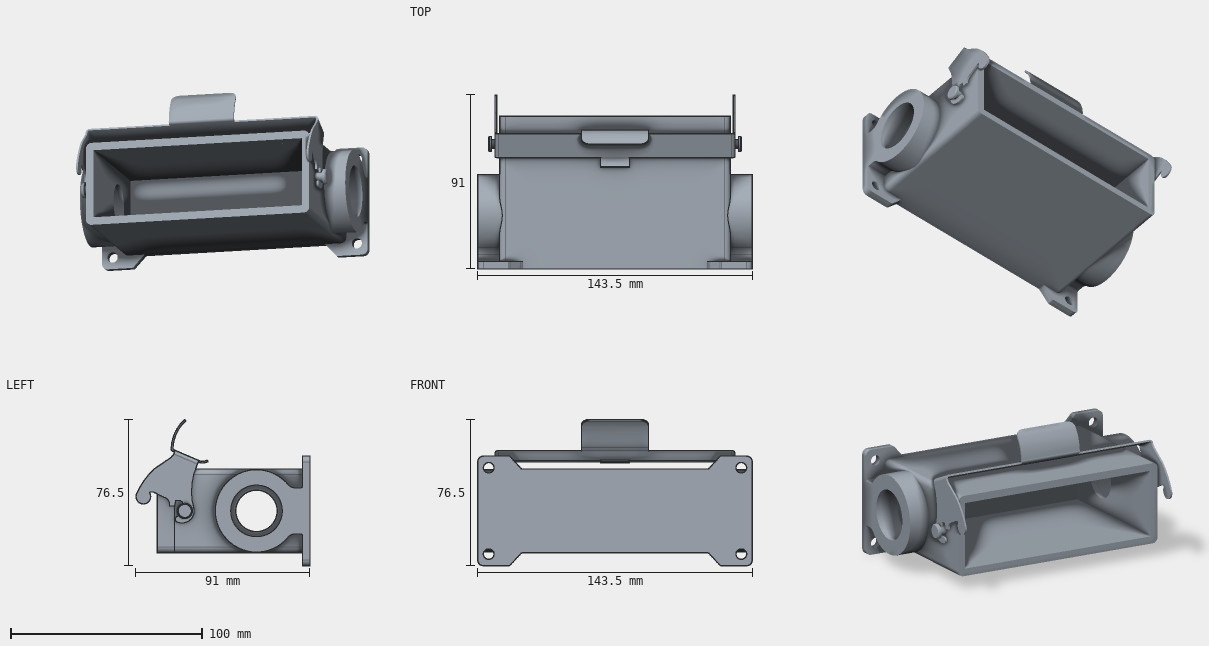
import cadquery as cq
import math


PLATE_LENGTH = 143.5
PLATE_HEIGHT = 57.4
PLATE_THICKNESS = 4.0
PLATE_CORNER_RADIUS = 3.0
MOUNT_HOLE_DIAMETER = 5.5
MOUNT_HOLE_SPACING_X = 132.0
MOUNT_HOLE_SPACING_Z = 45.0
NOTCH_HALF_LENGTH_OUTER = 55.1
NOTCH_HALF_LENGTH_INNER = 48.8
NOTCH_EDGE_RADIUS = 1.1

BODY_LENGTH = 120.7
BODY_HEIGHT = 43.9
BODY_DEPTH = 80.0
BODY_EDGE_RADIUS = 3.0
COLLAR_DEPTH = 9.2
WALL = 4.0
SEAM_Y = BODY_DEPTH - COLLAR_DEPTH

ENTRY_Y = 28.0
ENTRY_RADIUS = 21.5
ENTRY_BORE_DIAMETER = 27.0
ENTRY_BORE_DEPTH = 12.9
ENTRY_HOLE_DIAMETER = 21.5
WEB_HALF_HEIGHT = 12.0
WEB_FILLET = 4.7
WEB_FOOT_FILLET = 0.9

PEG_Y = 65.5
PEG_DIAMETER = 4.7
PEG_HEAD_DIAMETER = 8.0
PEG_HEAD_THICKNESS = 1.7
PEG_HEAD_CHAMFER = 0.6
PEG_HALF_SPAN = 66.2

SHEET = 1.0
LEVER_LENGTH = 125.5
LEVER_BEND_RADIUS = 2 * SHEET
STRAP_TILT = 23.0
STRAP_WIDTH = 13.5
STRAP_REAR_Y = 58.1
STRAP_REAR_Z = 26.4
PEG_CLEARANCE_DIAMETER = 5.5
EYE_RADIUS = 6.3
EYE_MIDDLE_ANGLE = 225.0
EYE_END_ANGLE = 165.0
EYE_Y = PEG_Y + 1.5
LIP_DIAMETER = 3.3
LIP_RADIUS = LIP_DIAMETER / 2
LIP_Y = 68.7
HOOK_Y = 87.1
HOOK_Z = 7.5
HOOK_RADIUS = 3.9
HOOK_THROAT_Y = 83.7
HOOK_THROAT_Z = 9.8
HOOK_THROAT_LENGTH = 1.9
HOOK_BLEND_ANGLE = 25.0
HOOK_BACK_Y = 81.5
HOOK_BACK_Z = 22.0
TOOTH_FRONT_Y = 73.5
TOOTH_REAR_Y = 70.6
TOOTH_Z = 2.6
TOOTH_HEIGHT = 1.5
RELIEF_FRONT_Y = 70.3
RELIEF_REAR_Y = 66.6
RELIEF_Z = 5.5
RELIEF_CORNER_Y = 1.1
RELIEF_CORNER_Z = 0.9

NECK_UPPER = (71.3, 29.5)
NECK_LOWER = (72.6, 28.0)
HOOK_BACK_MIDDLE = (86.5, 16.2)
BELLY_START = (76.0, 7.0)
BELLY_MIDDLE = (74.2, 5.7)
REAR_LOWER = (61.7, 5.7)
REAR_MIDDLE = (61.8, 12.2)
REAR_UPPER = (60.8, 19.0)

GRIP_WIDTH = 35.0
GRIP_CORNER_RADIUS = 4.0
GRIP_RADIUS = 21.1
GRIP_Y = 51.5
GRIP_Z = 32.0
GRIP_START_ANGLE = 3.0
GRIP_END_ANGLE = 48.5
FOOT_OUTER_MIDDLE = (72.5, 31.7)
FOOT_OUTER_END = (71.8, 31.1)
FOOT_INNER_MIDDLE = (71.3, 32.1)
TAB_WIDTH = 15.0
TAB_RADIUS = 6.0
TAB_END_ANGLE = 241.0


def polar(center, radius, degrees):
    """Point at a radius and angle from a center, in the (Y, Z) plane."""
    angle = math.radians(degrees)
    return center[0] + radius * math.cos(angle), center[1] + radius * math.sin(angle)


def box_between(length, height, y_start, y_end):
    """Box centred on the Y axis that runs from y_start to y_end."""
    depth = y_end - y_start
    return cq.Workplane("XY").box(length, depth, height).translate((0, y_start + depth / 2, 0))


def mounting_plate():
    plate = box_between(PLATE_LENGTH, PLATE_HEIGHT, 0, PLATE_THICKNESS)
    plate = plate.edges("|Y").fillet(PLATE_CORNER_RADIUS)
    for side in (1, -1):
        inner_z = side * BODY_HEIGHT / 2
        outer_z = side * PLATE_HEIGHT / 2
        notch = (
            cq.Workplane("XZ")
            .moveTo(-NOTCH_HALF_LENGTH_INNER, inner_z)
            .lineTo(NOTCH_HALF_LENGTH_INNER, inner_z)
            .lineTo(NOTCH_HALF_LENGTH_OUTER, outer_z)
            .lineTo(-NOTCH_HALF_LENGTH_OUTER, outer_z)
            .close()
            .extrude(-PLATE_THICKNESS)
        )
        plate = plate.cut(notch)
    zone_x = (NOTCH_HALF_LENGTH_OUTER + PLATE_LENGTH / 2) / 2
    notch_edges = cq.selectors.BoxSelector(
        (-zone_x, 0, -PLATE_HEIGHT),
        (zone_x, PLATE_THICKNESS, PLATE_HEIGHT),
    )
    plate = plate.edges("|Y").edges(notch_edges).fillet(NOTCH_EDGE_RADIUS)
    holes = (
        cq.Workplane("XZ")
        .rect(MOUNT_HOLE_SPACING_X, MOUNT_HOLE_SPACING_Z, forConstruction=True)
        .vertices()
        .circle(MOUNT_HOLE_DIAMETER / 2)
        .extrude(-PLATE_THICKNESS)
    )
    return plate.cut(holes)


def rounded_box(y_start, y_end):
    """Stretch of the outer box with its four long edges rounded."""
    return box_between(BODY_LENGTH, BODY_HEIGHT, y_start, y_end).edges("|Y").fillet(BODY_EDGE_RADIUS)


def cavity(y_start, y_end):
    """Stretch of the hollow inside, one wall thickness within the outer box."""
    return box_between(BODY_LENGTH - 2 * WALL, BODY_HEIGHT - 2 * WALL, y_start, y_end)


def entry_profile():
    """Round boss with a web to the plate, blended by concave fillets, as a (Y, Z) outline."""
    fillet_z = WEB_HALF_HEIGHT + WEB_FILLET
    reach = ENTRY_RADIUS + WEB_FILLET
    fillet_y = ENTRY_Y - math.sqrt(reach**2 - fillet_z**2)
    blend_y = ENTRY_Y + (fillet_y - ENTRY_Y) * ENTRY_RADIUS / reach
    blend_z = fillet_z * ENTRY_RADIUS / reach
    blend_angle = math.degrees(math.atan2(-fillet_z, ENTRY_Y - fillet_y))
    foot_y = PLATE_THICKNESS + WEB_FOOT_FILLET
    foot_z = WEB_HALF_HEIGHT + WEB_FOOT_FILLET
    foot_mid = polar((foot_y, foot_z), WEB_FOOT_FILLET, 225)
    upper_mid = polar((fillet_y, fillet_z), WEB_FILLET, (blend_angle - 90) / 2)
    return (
        cq.Workplane("YZ")
        .moveTo(0, foot_z)
        .lineTo(PLATE_THICKNESS, foot_z)
        .threePointArc(foot_mid, (foot_y, WEB_HALF_HEIGHT))
        .lineTo(fillet_y, WEB_HALF_HEIGHT)
        .threePointArc(upper_mid, (blend_y, blend_z))
        .threePointArc((ENTRY_Y + ENTRY_RADIUS, 0), (blend_y, -blend_z))
        .threePointArc((upper_mid[0], -upper_mid[1]), (fillet_y, -WEB_HALF_HEIGHT))
        .lineTo(foot_y, -WEB_HALF_HEIGHT)
        .threePointArc((foot_mid[0], -foot_mid[1]), (PLATE_THICKNESS, -foot_z))
        .lineTo(0, -foot_z)
        .close()
    )


def cross_cylinder(diameter, length, y):
    """Cylinder along X, centred on X = 0."""
    return cq.Workplane("YZ").center(y, 0).circle(diameter / 2).extrude(length / 2, both=True)


def make_peg():
    """Headed pivot peg on the +X wall, pointing along +X."""
    wall_x = BODY_LENGTH / 2
    head_x = PEG_HALF_SPAN - PEG_HEAD_THICKNESS
    shank = cq.Workplane("YZ", origin=(wall_x - WALL / 2, PEG_Y, 0)).circle(PEG_DIAMETER / 2)
    shank = shank.extrude(head_x - wall_x + WALL / 2)
    head = cq.Workplane("YZ", origin=(head_x, PEG_Y, 0)).circle(PEG_HEAD_DIAMETER / 2)
    head = head.extrude(PEG_HEAD_THICKNESS).faces(">X").chamfer(PEG_HEAD_CHAMFER)
    return shank.union(head)


def make_housing():
    housing = mounting_plate().union(rounded_box(0, SEAM_Y))
    housing = housing.union(entry_profile().extrude(PLATE_LENGTH / 2, both=True))
    housing = housing.cut(cavity(WALL, SEAM_Y))
    housing = housing.cut(cross_cylinder(ENTRY_HOLE_DIAMETER, PLATE_LENGTH, ENTRY_Y))
    bores = cross_cylinder(ENTRY_BORE_DIAMETER, PLATE_LENGTH, ENTRY_Y).cut(
        cross_cylinder(ENTRY_BORE_DIAMETER, PLATE_LENGTH - 2 * ENTRY_BORE_DEPTH, ENTRY_Y)
    )
    housing = housing.cut(bores)
    peg = make_peg()
    return housing.union(peg).union(peg.mirror("YZ"))


def make_collar():
    """Open frame that continues the outer box in front of the seam."""
    return rounded_box(SEAM_Y, BODY_DEPTH).cut(cavity(SEAM_Y, BODY_DEPTH))


def strap_front_corners():
    """Outer and inner corners of the strap sheet on the hook side."""
    outer = polar((STRAP_REAR_Y, STRAP_REAR_Z), STRAP_WIDTH, STRAP_TILT)
    return outer, polar(outer, SHEET, STRAP_TILT - 90)


def lever_outline():
    """Side shape of the lever: strap edge, hook, latch tooth and slotted pivot eye."""
    rear = (STRAP_REAR_Y, STRAP_REAR_Z)
    strap_top, strap_bottom = strap_front_corners()
    hole_radius = PEG_CLEARANCE_DIAMETER / 2
    hole_entry_z = math.sqrt(hole_radius**2 - (RELIEF_REAR_Y - PEG_Y) ** 2)
    throat_z = HOOK_Z + math.sqrt(HOOK_RADIUS**2 - (HOOK_Y - HOOK_THROAT_Y) ** 2)
    hook_blend = polar((HOOK_Y, HOOK_Z), HOOK_RADIUS, HOOK_BLEND_ANGLE)
    eye_end = polar((EYE_Y, 0), EYE_RADIUS, EYE_END_ANGLE)
    lip_z = -hole_radius - LIP_RADIUS
    return (
        cq.Workplane("YZ")
        .moveTo(*strap_top)
        .lineTo(*strap_bottom)
        .lineTo(*NECK_UPPER)
        .lineTo(*NECK_LOWER)
        .lineTo(HOOK_BACK_Y, HOOK_BACK_Z)
        .threePointArc(HOOK_BACK_MIDDLE, hook_blend)
        .threePointArc((HOOK_Y, HOOK_Z - HOOK_RADIUS), (HOOK_THROAT_Y, throat_z))
        .lineTo(HOOK_THROAT_Y, HOOK_THROAT_Z)
        .lineTo(HOOK_THROAT_Y - HOOK_THROAT_LENGTH, HOOK_THROAT_Z)
        .lineTo(*BELLY_START)
        .threePointArc(BELLY_MIDDLE, (TOOTH_FRONT_Y, TOOTH_Z + TOOTH_HEIGHT))
        .lineTo(TOOTH_FRONT_Y, TOOTH_Z)
        .lineTo(TOOTH_REAR_Y, TOOTH_Z)
        .lineTo(RELIEF_FRONT_Y, RELIEF_Z)
        .lineTo(RELIEF_REAR_Y + RELIEF_CORNER_Y, RELIEF_Z)
        .lineTo(RELIEF_REAR_Y, RELIEF_Z - RELIEF_CORNER_Z)
        .lineTo(RELIEF_REAR_Y, hole_entry_z)
        .threePointArc((PEG_Y - hole_radius, 0), (PEG_Y, -hole_radius))
        .lineTo(LIP_Y, -hole_radius)
        .threePointArc((LIP_Y + LIP_RADIUS, lip_z), (LIP_Y, lip_z - LIP_RADIUS))
        .threePointArc(polar((EYE_Y, 0), EYE_RADIUS, EYE_MIDDLE_ANGLE), eye_end)
        .lineTo(*REAR_LOWER)
        .threePointArc(REAR_MIDDLE, REAR_UPPER)
        .lineTo(*rear)
        .close()
    )


def lever_channel():
    """Long U-shaped sheet channel, its web along the tilted strap and its flanges at both ends."""
    reach = BODY_DEPTH
    tilt = math.radians(STRAP_TILT)
    strap_plane = cq.Plane(
        origin=(0, STRAP_REAR_Y, STRAP_REAR_Z),
        xDir=(1, 0, 0),
        normal=(0, -math.cos(tilt), -math.sin(tilt)),
    )

    def bar(length, inset, bend):
        half = length / 2
        return (
            cq.Workplane(strap_plane)
            .moveTo(-half, -reach)
            .lineTo(-half, -inset - bend)
            .radiusArc((-half + bend, -inset), bend)
            .lineTo(half - bend, -inset)
            .radiusArc((half, -inset - bend), bend)
            .lineTo(half, -reach)
            .close()
            .extrude(reach, both=True)
        )

    outer = bar(LEVER_LENGTH, 0, LEVER_BEND_RADIUS)
    return outer.cut(bar(LEVER_LENGTH - 2 * SHEET, SHEET, LEVER_BEND_RADIUS - SHEET))


def curved_sheet(center, radius, start_angle, end_angle, width):
    """Sheet bent to an outer radius about an X axis, between two angles in the (Y, Z) plane."""
    inner = radius - SHEET
    middle = (start_angle + end_angle) / 2
    return (
        cq.Workplane("YZ")
        .moveTo(*polar(center, radius, start_angle))
        .threePointArc(polar(center, radius, middle), polar(center, radius, end_angle))
        .lineTo(*polar(center, inner, end_angle))
        .threePointArc(polar(center, inner, middle), polar(center, inner, start_angle))
        .close()
        .extrude(width / 2, both=True)
    )


def make_grip():
    """Curved finger grip with rounded upper corners and a bent foot on the strap."""
    center = (GRIP_Y, GRIP_Z)
    grip = curved_sheet(center, GRIP_RADIUS, GRIP_START_ANGLE, GRIP_END_ANGLE, GRIP_WIDTH)
    grip = grip.faces(">Z").edges("not |X").fillet(GRIP_CORNER_RADIUS)
    strap_top, strap_bottom = strap_front_corners()
    foot = (
        cq.Workplane("YZ")
        .moveTo(*polar(center, GRIP_RADIUS, GRIP_START_ANGLE))
        .threePointArc(FOOT_OUTER_MIDDLE, FOOT_OUTER_END)
        .lineTo(*strap_bottom)
        .lineTo(*strap_top)
        .threePointArc(FOOT_INNER_MIDDLE, polar(center, GRIP_RADIUS - SHEET, GRIP_START_ANGLE))
        .close()
        .extrude(GRIP_WIDTH / 2, both=True)
    )
    return grip.union(foot)


def make_tab():
    """Short tab that curls up from the rear edge of the strap."""
    rear_bottom = polar((STRAP_REAR_Y, STRAP_REAR_Z), SHEET, STRAP_TILT - 90)
    center = polar(rear_bottom, TAB_RADIUS, STRAP_TILT + 90)
    return curved_sheet(center, TAB_RADIUS, STRAP_TILT + 270, TAB_END_ANGLE, TAB_WIDTH)


def make_lever():
    side_shape = lever_outline().extrude(LEVER_LENGTH / 2, both=True)
    return lever_channel().intersect(side_shape).union(make_grip()).union(make_tab())


housing = make_housing()
collar = make_collar()
lever = make_lever()

result = cq.Compound.makeCompound([housing.val(), collar.val(), lever.val()])